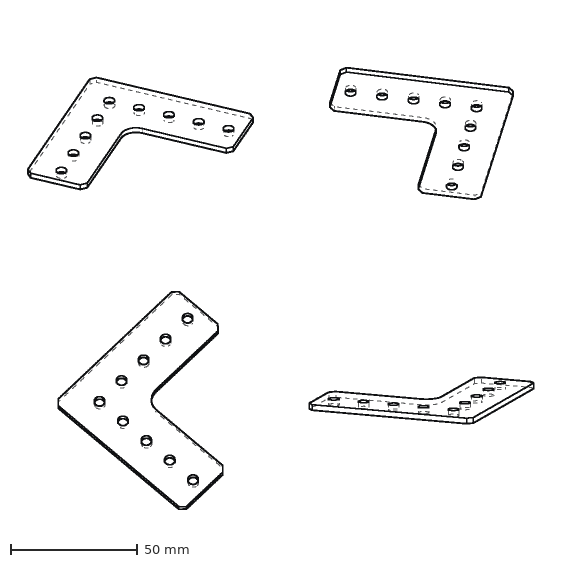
import cadquery as cq

leg_length = 69.72
thickness = 2.29
hole_pitch = 12.7
holes_per_leg = 5
hole_diameter = 4.2
corner_chamfer = 2.1
inner_radius = 6.4
tip_margin = 6.285

hole_inset = leg_length - tip_margin - (holes_per_leg - 1) * hole_pitch
leg_width = 2 * hole_inset


def make_plate():
    """L-shaped plate: outer corner at (0, leg_length), legs along +X and -Y."""
    plate = (
        cq.Workplane("XY")
        .moveTo(0, 0)
        .lineTo(leg_width, 0)
        .lineTo(leg_width, leg_length - leg_width)
        .lineTo(leg_length, leg_length - leg_width)
        .lineTo(leg_length, leg_length)
        .lineTo(0, leg_length)
        .close()
        .extrude(thickness)
    )
    inner_corner = cq.selectors.NearestToPointSelector(
        (leg_width, leg_length - leg_width, thickness / 2)
    )
    plate = plate.edges("|Z").edges(inner_corner).fillet(inner_radius)

    outer_corners = [
        (0, 0),
        (leg_width, 0),
        (leg_length, leg_length - leg_width),
        (leg_length, leg_length),
        (0, leg_length),
    ]
    for x, y in outer_corners:
        corner = cq.selectors.NearestToPointSelector((x, y, thickness / 2))
        plate = plate.edges("|Z").edges(corner).chamfer(corner_chamfer)
    return plate


def hole_centres():
    """Corner hole first, then the rest of each leg's row."""
    corner_x = hole_inset
    corner_y = leg_length - hole_inset
    centres = [(corner_x, corner_y)]
    for step in range(1, holes_per_leg):
        offset = step * hole_pitch
        centres.append((corner_x + offset, corner_y))
        centres.append((corner_x, corner_y - offset))
    return centres


def drill_holes(plate):
    return (
        plate.faces(">Z")
        .workplane(origin=(0, 0, thickness))
        .pushPoints(hole_centres())
        .hole(hole_diameter)
    )


result = drill_holes(make_plate())